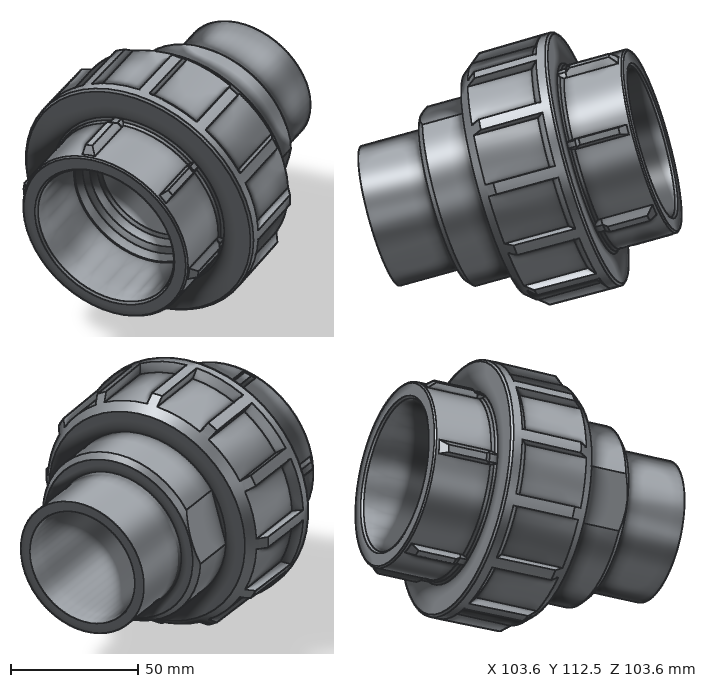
import cadquery as cq

overall_length = 112.5
nut_front_y = 26.5
nut_length = 37.8
nut_rear_y = nut_front_y + nut_length
joint_y = 37.9
collar_end_y = 85.5

socket_radius = 37.5
socket_edge_chamfer = 0.7
shoulder_radius = 38.9
flare_length = 2.2
flare_inner_length = 0.9
flare_inner_radius = 38.0
mouth_radius = 31.7
mouth_chamfer = 0.9
socket_bottom_radius = 30.6
socket_depth = 28.7
seat_radius = 30.0
seat_end_radius = 28.9
seat_end_y = 32.6
throat_radius = 26.8
throat_y = 34.4
joint_bore_radius = 25.5

rib_axis_angle = 47.6
side_rib_spread = 56.5
rib_root_radius = 36.0
rib_base_radius = 37.1
rib_top_radius = 40.0
rib_start_y = 1.6
rib_full_start_y = 5.0
rib_full_end_y = 21.4
rib_end_y = 23.2
rib_top_half_width = 1.4
rib_base_half_width = 2.1
side_rib_steep_top = 1.8
side_rib_steep_base = 2.2
side_rib_sloped_base = 3.8
neck_inset = 0.7

collar_radius = 36.6
collar_chamfer = 2.2
spigot_radius = 28.6
spigot_foot_length = 1.6
spigot_foot_height = 0.5
tail_bore_radius = 24.3
bore_lead_in = 1.2
flat_angle = 163.8
flat_distance = 34.6

nut_radius = 51.8
nut_edge_chamfer = 0.9
nut_top_radius = 51.4
nut_rear_radius = 45.3
nut_cone_length = 7.5
flange_width = 4.6
grip_floor_radius = 48.4
grip_slope_length = 2.9
grip_rear_gap = 3.7
grip_rib_count = 12
grip_rib_width = 4.7


def revolve_about_y(points):
    """Solid of revolution about Y from a closed outline of (radius, y) points."""
    return cq.Workplane("XY").polyline(points).close().revolve(360, (0, 0, 0), (0, 1, 0))


def turn_about_y(shape, angle):
    """Turn a shape that stands on the +X side to the given angle, counted from +X toward +Z."""
    return shape.rotate((0, 0, 0), (0, 1, 0), -angle)


def prism_along_y(points, start_y, end_y):
    """Prism between two stations on Y, from a closed outline of (x, z) points."""
    plane = cq.Plane(origin=(0, end_y, 0), xDir=(1, 0, 0), normal=(0, -1, 0))
    return cq.Workplane(plane).polyline(points).close().extrude(end_y - start_y)


def make_rib(top_low, top_high, base_low, base_high):
    """Rib on the +X side; the four limits are its Z at the top and the base, low side then high side."""
    def section(inset):
        return [
            (rib_root_radius, base_low),
            (rib_base_radius, base_low),
            (rib_top_radius, top_low + inset),
            (rib_top_radius, top_high - inset),
            (rib_base_radius, base_high),
            (rib_root_radius, base_high),
        ]

    side_profile = [
        (rib_root_radius, rib_start_y),
        (rib_base_radius, rib_start_y),
        (rib_top_radius, rib_full_start_y),
        (rib_top_radius, rib_full_end_y),
        (shoulder_radius, rib_end_y),
        (rib_root_radius, rib_end_y),
    ]
    reach = rib_top_radius
    envelope = cq.Workplane("XY").polyline(side_profile).close().extrude(reach, both=True)
    main = prism_along_y(section(0), rib_start_y, rib_end_y).intersect(envelope)

    neck_length = nut_front_y - rib_full_end_y
    neck_limit = cq.Workplane("XY").box(
        shoulder_radius, neck_length, 2 * reach, centered=(False, False, True)
    ).translate((0, rib_full_end_y, 0))
    neck = prism_along_y(section(neck_inset), rib_full_end_y, nut_front_y).intersect(neck_limit)
    return main.union(neck)


def make_socket_end():
    """Front body: tapered socket with a stepped throat, a flared shoulder and six outer ribs."""
    body = revolve_about_y([
        (mouth_radius, 0),
        (socket_radius - socket_edge_chamfer, 0),
        (socket_radius, socket_edge_chamfer),
        (socket_radius, nut_front_y - flare_length),
        (flare_inner_radius, nut_front_y - flare_inner_length),
        (shoulder_radius, nut_front_y),
        (shoulder_radius, joint_y),
        (joint_bore_radius, joint_y),
        (throat_radius, throat_y),
        (seat_end_radius, seat_end_y),
        (seat_radius, socket_depth),
        (socket_bottom_radius, socket_depth),
        (mouth_radius - mouth_chamfer, mouth_chamfer),
    ])

    middle_rib = make_rib(
        -rib_top_half_width, rib_top_half_width, -rib_base_half_width, rib_base_half_width
    )
    side_rib = make_rib(
        -rib_top_half_width, side_rib_steep_top, -side_rib_sloped_base, side_rib_steep_base
    )
    for middle_angle in (rib_axis_angle, rib_axis_angle + 180):
        body = body.union(turn_about_y(middle_rib, middle_angle))
        body = body.union(turn_about_y(side_rib, middle_angle + side_rib_spread))
        body = body.union(turn_about_y(side_rib.mirror("XY"), middle_angle - side_rib_spread))
    return body


def make_tail():
    """Rear body: round collar with two wrench flats, then a plain spigot."""
    body = revolve_about_y([
        (tail_bore_radius + bore_lead_in, joint_y),
        (collar_radius, joint_y),
        (collar_radius, collar_end_y - collar_chamfer),
        (collar_radius - collar_chamfer, collar_end_y),
        (spigot_radius + spigot_foot_height, collar_end_y),
        (spigot_radius, collar_end_y + spigot_foot_length),
        (spigot_radius, overall_length),
        (tail_bore_radius, overall_length),
        (tail_bore_radius, joint_y + bore_lead_in),
    ])
    flat_length = collar_end_y - nut_rear_y
    flat_cutter = cq.Workplane("XY").box(
        collar_radius, flat_length, 2 * collar_radius, centered=(False, False, True)
    ).translate((flat_distance, nut_rear_y, 0))
    for angle in (flat_angle, flat_angle + 180):
        body = body.cut(turn_about_y(flat_cutter, angle))
    return body


def make_nut():
    """Grip nut: flanged ring with a coned rear edge and pockets between parallel-sided grip ribs."""
    grip_start_y = nut_front_y + flange_width
    grip_end_y = nut_rear_y - grip_rear_gap
    blank = revolve_about_y([
        (shoulder_radius, nut_front_y),
        (nut_radius - nut_edge_chamfer, nut_front_y),
        (nut_radius, nut_front_y + nut_edge_chamfer),
        (nut_radius, grip_start_y),
        (nut_top_radius, nut_rear_y - nut_cone_length),
        (nut_rear_radius, nut_rear_y),
        (collar_radius, nut_rear_y),
        (collar_radius, joint_y),
        (shoulder_radius, joint_y),
    ])
    pockets = revolve_about_y([
        (nut_radius, grip_start_y),
        (grip_floor_radius, grip_start_y + grip_slope_length),
        (grip_floor_radius, grip_end_y),
        (nut_radius, grip_end_y),
    ])
    grip_rib = cq.Workplane("XY").box(
        nut_radius, nut_length, grip_rib_width, centered=(False, False, True)
    ).translate((nut_rear_radius, nut_front_y, 0))
    for index in range(grip_rib_count):
        pockets = pockets.cut(turn_about_y(grip_rib, index * 360 / grip_rib_count))
    return blank.cut(pockets)


socket_end = make_socket_end()
tail = make_tail()
nut = make_nut()
result = cq.Compound.makeCompound([socket_end.val(), tail.val(), nut.val()])